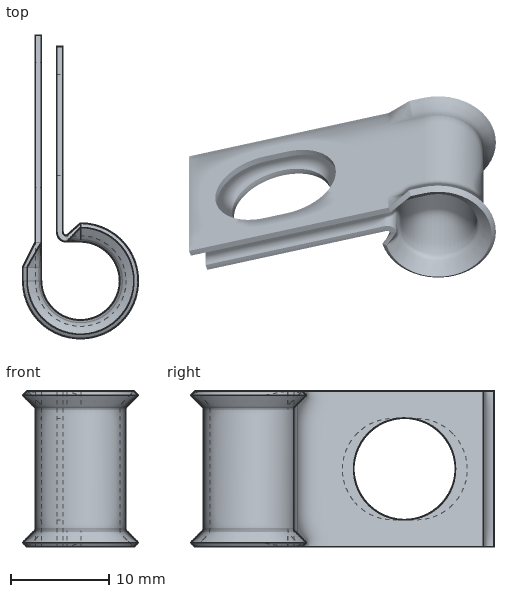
import cadquery as cq
import math

sheet = 0.635
width = 15.88
eye_inner_radius = 3.97
eye_sweep_degrees = 270
rim_radius = 5.88

long_leg_end = 24.99
short_leg_end = 23.85
leg_gap = 1.55
leg_bend_inner_radius = 0.365

flare_angle = math.radians(45)
flare_bend_radius = 0.25
flare_straight_run = 1.41
long_leg_blend = 2.54

hole_diameter = 10.32
slot_length = 12.7
hole_y = 15.87

diagonal = math.sqrt(0.5)
top = width / 2
eye_outer_radius = eye_inner_radius + sheet
long_leg_root = flare_straight_run + long_leg_blend
short_leg_outside_x = -eye_inner_radius + leg_gap
short_leg_inside_x = short_leg_outside_x + sheet
leg_bend_outer_radius = leg_bend_inner_radius + sheet
leg_bend_x = short_leg_outside_x + leg_bend_outer_radius
leg_bend_y = eye_inner_radius + leg_bend_outer_radius

throat_radius = flare_bend_radius + sheet
flare_bend_centre = eye_outer_radius + flare_bend_radius
lip_radius = rim_radius - sheet * math.cos(flare_angle)
rim_z = top - sheet * math.sin(flare_angle)
throat_end_radius = flare_bend_centre - throat_radius * math.cos(flare_angle)
cone_height = (lip_radius - throat_end_radius) / math.tan(flare_angle)
flare_root = top - cone_height - throat_radius * math.sin(flare_angle)


def flare_bend_point(radius, angle):
    """Point (r, z) on a bend arc of the flare, angle measured from the bend start."""
    r = flare_bend_centre - radius * math.cos(angle)
    z = flare_root + radius * math.sin(angle)
    return (r, z)


def flared_section(plane):
    """Section of the upper flare; local x is the radius and local y is Z."""
    return (
        cq.Workplane(plane)
        .moveTo(eye_inner_radius, flare_root)
        .threePointArc(
            flare_bend_point(throat_radius, flare_angle / 2),
            flare_bend_point(throat_radius, flare_angle),
        )
        .lineTo(lip_radius, top)
        .lineTo(rim_radius, rim_z)
        .lineTo(*flare_bend_point(flare_bend_radius, flare_angle))
        .threePointArc(
            flare_bend_point(flare_bend_radius, flare_angle / 2),
            (eye_outer_radius, flare_root),
        )
        .close()
    )


def flat_section(plane):
    """Unflared section of the sheet, split like the flare so that the two can be lofted."""
    cone_length = cone_height / math.cos(flare_angle)
    flat_height = top - flare_root

    def split_z(bend_radius):
        bend_length = bend_radius * flare_angle
        return flare_root + flat_height * bend_length / (bend_length + cone_length)

    return (
        cq.Workplane(plane)
        .moveTo(eye_inner_radius, flare_root)
        .lineTo(eye_inner_radius, split_z(throat_radius))
        .lineTo(eye_inner_radius, top)
        .lineTo(eye_outer_radius, top)
        .lineTo(eye_outer_radius, split_z(flare_bend_radius))
        .lineTo(eye_outer_radius, flare_root)
        .close()
    )


def long_side_plane(y):
    """Section plane across the wall that leads into the long leg."""
    return cq.Plane(origin=(0, y, 0), xDir=(-1, 0, 0), normal=(0, 1, 0))


def short_side_plane(x):
    """Section plane across the wall that leads into the short leg."""
    return cq.Plane(origin=(x, 0, 0), xDir=(0, 1, 0), normal=(1, 0, 0))


def flare_blend(flared_plane, flat_plane):
    """Sheet running from the flared section to the flat one in straight lines."""
    sections = [flared_section(flared_plane).val(), flat_section(flat_plane).val()]
    return cq.Workplane(cq.Solid.makeLoft(sections, True))


def upper_flare():
    """Flare around the eye, its straight run and the blends into both legs."""
    around_eye = flared_section(long_side_plane(0)).revolve(eye_sweep_degrees, (0, 0), (0, 1))
    straight_run = flared_section(long_side_plane(0)).extrude(flare_straight_run)
    long_blend = flare_blend(long_side_plane(flare_straight_run), long_side_plane(long_leg_root))
    short_blend = flare_blend(short_side_plane(0), short_side_plane(leg_bend_x))
    return around_eye.union(straight_run).union(long_blend).union(short_blend)


def eye_wall():
    """Cylindrical wall of the eye with its flat ends, between the two flares."""
    return (
        cq.Workplane("XY")
        .workplane(offset=-flare_root)
        .moveTo(-eye_outer_radius, long_leg_root)
        .lineTo(-eye_outer_radius, 0)
        .threePointArc((eye_outer_radius * diagonal, -eye_outer_radius * diagonal), (0, eye_outer_radius))
        .lineTo(leg_bend_x, eye_outer_radius)
        .lineTo(leg_bend_x, eye_inner_radius)
        .lineTo(0, eye_inner_radius)
        .threePointArc((eye_inner_radius * diagonal, -eye_inner_radius * diagonal), (-eye_inner_radius, 0))
        .lineTo(-eye_inner_radius, long_leg_root)
        .close()
        .extrude(2 * flare_root)
    )


def opening(length):
    """Cutter along X centred on the screw axis, elongated along Y to the given length."""
    cutter = cq.Workplane("YZ").center(hole_y, 0)
    if length > hole_diameter:
        return cutter.slot2D(length, hole_diameter).extrude(sheet)
    return cutter.circle(hole_diameter / 2).extrude(sheet)


def long_leg():
    """Full-width leg tangent to the eye, with the slot."""
    leg = (
        cq.Workplane("XY")
        .box(sheet, long_leg_end - long_leg_root, width, centered=(False, False, True))
        .translate((-eye_outer_radius, long_leg_root, 0))
    )
    return leg.cut(opening(slot_length).translate((-eye_outer_radius, 0, 0)))


def short_leg():
    """Full-width leg bent out of the end of the eye, with the round hole."""
    leg = (
        cq.Workplane("XY")
        .workplane(offset=-top)
        .moveTo(leg_bend_x, eye_inner_radius)
        .threePointArc(
            (leg_bend_x - leg_bend_outer_radius * diagonal, leg_bend_y - leg_bend_outer_radius * diagonal),
            (short_leg_outside_x, leg_bend_y),
        )
        .lineTo(short_leg_outside_x, short_leg_end)
        .lineTo(short_leg_inside_x, short_leg_end)
        .lineTo(short_leg_inside_x, leg_bend_y)
        .threePointArc(
            (leg_bend_x - leg_bend_inner_radius * diagonal, leg_bend_y - leg_bend_inner_radius * diagonal),
            (leg_bend_x, eye_outer_radius),
        )
        .close()
        .extrude(width)
    )
    return leg.cut(opening(hole_diameter).translate((short_leg_outside_x, 0, 0)))


flare = upper_flare()
result = eye_wall().union(long_leg()).union(short_leg()).union(flare).union(flare.mirror("XY"))